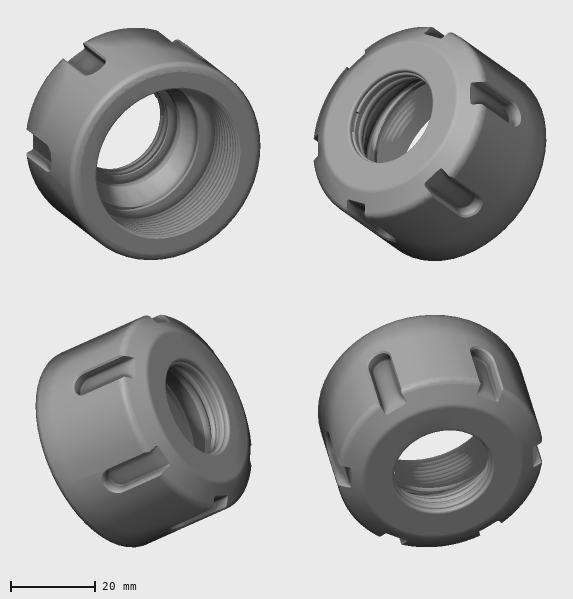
import cadquery as cq
import math


length = 30.5
outer_radius = 25.0
cone_angle = 60.0
cone_corner_x = 3.25
cone_face_radius = outer_radius - cone_corner_x * math.tan(math.radians(cone_angle))
edge_fillet = 2.0

slot_count = 6
slot_pitch_angle = 360 / slot_count
slot_width = 6.0
slot_floor_radius = 22.0
slot_end_center_x = 15.05
long_slot_end_center_x = 17.5
long_slot_index = 1
slot_floor_fillet = 0.5
slot_rim_chamfer = 0.45

bore_radius = 11.9
mouth_fillet = 0.6
snap_groove_start = 1.2
snap_groove_end = 2.35
land_end = 3.75
seal_groove_end = 6.65
groove_depth = 2.0
groove_radius = bore_radius + groove_depth

seat_bore_radius = 13.5
seat_cone_start = 8.5
seat_cone_end = 14.1
seat_cone_slope = math.tan(math.radians(30))
seat_cone_radius = seat_bore_radius + (seat_cone_end - seat_cone_start) * seat_cone_slope

snap_ring_radius = 11.4
snap_ring_fillet = 0.55
snap_ring_gap_angle = 26.0

seal_ring_front = 4.1
seal_ring_back = 5.35
seal_ring_fillet = 0.85

extractor_wall_x = 14.7
extractor_end = 16.05
extractor_hole_radius = 16.75
extractor_hole_offset = -1.75
extractor_fillet = 0.35
extractor_corner_radius = extractor_wall_x - seat_cone_end

thread_flank_slope = math.tan(math.radians(60))
thread_pitch = 1.5
thread_root_radius = 20.0
thread_depth = thread_pitch / 2 * thread_flank_slope
thread_crest_radius = thread_root_radius - thread_depth
first_crest_x = 16.8


def revolved(profile):
    """Close a profile and turn it around the X axis."""
    return profile.close().revolve(360, (0, 0, 0), (1, 0, 0))


def on_circle(center, radius, angle):
    """Point of a circle, with the angle in degrees from the first axis."""
    turn = math.radians(angle)
    return (center[0] + radius * math.cos(turn), center[1] + radius * math.sin(turn))


def cylinder(start_x, end_x, radius):
    return cq.Workplane("YZ", origin=(start_x, 0, 0)).circle(radius).extrude(end_x - start_x)


def envelope():
    """Outside of the nut without its slots."""
    outline = [
        (0, 0),
        (0, cone_face_radius),
        (cone_corner_x, outer_radius),
        (length, outer_radius),
        (length, 0),
    ]
    return revolved(cq.Workplane("XY").polyline(outline)).edges("%CIRCLE").fillet(edge_fillet)


def slot_cutter(end_center_x):
    """Slot on the +Z side, open at the front, with a round end and a rounded floor edge."""
    height = outer_radius - slot_floor_radius + slot_width
    half_width = slot_width / 2
    return (
        cq.Workplane("XY", origin=(0, 0, slot_floor_radius))
        .moveTo(-slot_width, -half_width)
        .lineTo(end_center_x, -half_width)
        .threePointArc((end_center_x + half_width, 0), (end_center_x, half_width))
        .lineTo(-slot_width, half_width)
        .close()
        .extrude(height)
        .faces("<Z").edges("not(<X)").fillet(slot_floor_fillet)
    )


def is_slot_rim(edge):
    """True for the edges where a slot breaks the cylinder, false for its ends and its seam at y = 0."""
    center = edge.Center()
    margin = slot_rim_chamfer
    clear_of_ends = margin < center.x < length - margin
    on_seam = abs(center.y) < margin
    return clear_of_ends and not on_seam


def slotted_cylinder():
    blank = cylinder(0, length, outer_radius).rotate((0, 0, 0), (1, 0, 0), 90)
    for index in range(slot_count):
        end_center_x = long_slot_end_center_x if index == long_slot_index else slot_end_center_x
        angle = slot_pitch_angle * index - 90
        blank = blank.cut(slot_cutter(end_center_x).rotate((0, 0, 0), (1, 0, 0), angle))
    outer_face = max(blank.faces("%CYLINDER").vals(), key=lambda face: face.Area())
    rims = [edge for edge in outer_face.Edges() if is_slot_rim(edge)]
    return blank.newObject(rims).chamfer(slot_rim_chamfer)


def front_bore():
    """Rounded mouth, snap ring groove, land, seal groove and collet seat."""
    mouth_center = (mouth_fillet, bore_radius + mouth_fillet)
    profile = (
        cq.Workplane("XY")
        .lineTo(*on_circle(mouth_center, mouth_fillet, 180))
        .threePointArc(
            on_circle(mouth_center, mouth_fillet, 225),
            on_circle(mouth_center, mouth_fillet, 270),
        )
        .lineTo(snap_groove_start, bore_radius)
        .lineTo(snap_groove_start, groove_radius)
        .lineTo(snap_groove_end, groove_radius)
        .lineTo(snap_groove_end, bore_radius)
        .lineTo(land_end, bore_radius)
        .lineTo(land_end, groove_radius)
        .lineTo(seal_groove_end, groove_radius)
        .lineTo(seal_groove_end, seat_bore_radius)
        .lineTo(seat_cone_start, seat_bore_radius)
        .lineTo(seat_cone_end, seat_cone_radius)
        .lineTo(seat_cone_end, 0)
    )
    return revolved(profile)


def rear_bore():
    """Seat of the extractor ring and the thread behind it."""
    profile = [
        (seat_cone_end, 0),
        (seat_cone_end, thread_root_radius),
        (extractor_end, thread_root_radius),
        (first_crest_x, thread_crest_radius),
    ]
    crest_x = first_crest_x
    while crest_x + thread_pitch < length:
        profile.append((crest_x + thread_pitch / 2, thread_root_radius))
        crest_x += thread_pitch
        profile.append((crest_x, thread_crest_radius))
    last_flank = length - crest_x
    profile.append((length, thread_crest_radius + last_flank * thread_flank_slope))
    profile.append((length, 0))
    return revolved(cq.Workplane("XY").polyline(profile))


def nut():
    return slotted_cylinder().intersect(envelope()).cut(front_bore()).cut(rear_bore())


def nosed_ring(start_x, end_x, inner_radius, nose_fillet):
    """Ring whose inner front edge is rounded, reaching out to the groove floor."""
    ring = cylinder(start_x, end_x, groove_radius).cut(cylinder(start_x, end_x, inner_radius))
    return ring.faces("<X").edges(cq.selectors.RadiusNthSelector(0)).fillet(nose_fillet)


def snap_ring():
    ring = nosed_ring(snap_groove_start, snap_groove_end, snap_ring_radius, snap_ring_fillet)
    reach = 2 * groove_radius
    gap = (
        cq.Workplane("YZ")
        .polyline([(0, 0), (reach, 0), on_circle((0, 0), reach, snap_ring_gap_angle)])
        .close()
        .extrude(length)
    )
    return ring.cut(gap)


def seal_ring():
    return nosed_ring(seal_ring_front, seal_ring_back, bore_radius, seal_ring_fillet)


def extractor_recess():
    """Round pocket on the nut axis that ends in a rounded corner at the lip wall."""
    corner_center = (seat_cone_end, seat_cone_radius - extractor_corner_radius)
    profile = (
        cq.Workplane("XY")
        .moveTo(seat_cone_end, 0)
        .lineTo(seat_cone_end, seat_cone_radius)
        .threePointArc(
            on_circle(corner_center, extractor_corner_radius, 45),
            on_circle(corner_center, extractor_corner_radius, 0),
        )
        .lineTo(extractor_wall_x, 0)
    )
    return revolved(profile)


def extractor_hole():
    """Off-axis through hole whose mouth is rounded where it breaks the lip wall."""
    mouth_center = (extractor_wall_x + extractor_fillet, extractor_hole_radius + extractor_fillet)
    profile = (
        cq.Workplane("XY")
        .moveTo(seat_cone_end, 0)
        .lineTo(seat_cone_end, mouth_center[1])
        .lineTo(*on_circle(mouth_center, extractor_fillet, 180))
        .threePointArc(
            on_circle(mouth_center, extractor_fillet, 225),
            on_circle(mouth_center, extractor_fillet, 270),
        )
        .lineTo(extractor_end, extractor_hole_radius)
        .lineTo(extractor_end, 0)
    )
    return revolved(profile).translate((0, extractor_hole_offset, 0))


def extractor_ring():
    disc = cylinder(seat_cone_end, extractor_end, thread_root_radius)
    return disc.cut(extractor_recess()).cut(extractor_hole())


result = cq.Compound.makeCompound([
    nut().val(),
    snap_ring().val(),
    seal_ring().val(),
    extractor_ring().val(),
])